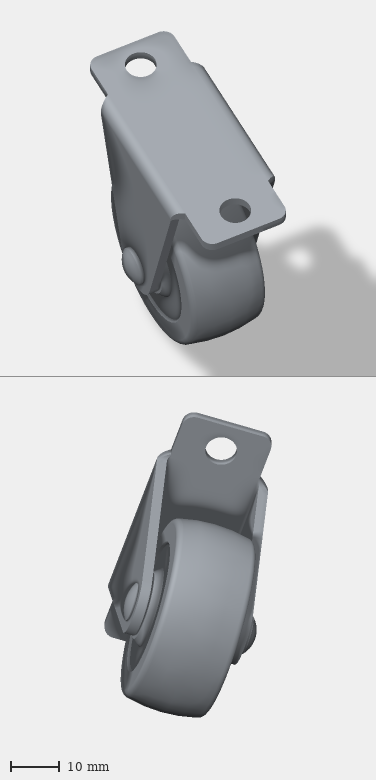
import cadquery as cq
import math

PLATE_LENGTH = 55.0
PLATE_WIDTH = 19.05
PLATE_THICKNESS = 2.0
CORNER_RADIUS = 2.5
MOUNT_HOLE_DIAMETER = 6.5
MOUNT_HOLE_SPACING = 43.0

FORK_WIDTH = 24.0
LEG_THICKNESS = 2.1
BEND_RADIUS = (FORK_WIDTH - PLATE_WIDTH) / 2
INNER_BEND_RADIUS = 0.5
FOLD_LENGTH = 35.1
LEG_TOP_LENGTH = 31.8
LEG_TAPER_LENGTH = 32.35
LEG_BLEND_RADIUS = 1.65
LEG_TIP_RADIUS = 6.55
LEG_OUTER_Y = FORK_WIDTH / 2
LEG_INNER_Y = LEG_OUTER_Y - LEG_THICKNESS

SELECTION_MARGIN = 0.05

AXLE_Z = -34.85
WHEEL_RADIUS = 20.0
SHOULDER_RADIUS = 19.15
RIM_FACE_RADIUS = 17.6
SHOULDER_HALF_WIDTH = 7.35
RIM_HALF_WIDTH = 8.5
RECESS_RADIUS = 13.9
RECESS_TAPER = 0.5
RECESS_DEPTH = 0.5
BOSS_BASE_RADIUS = 8.45
BOSS_TIP_RADIUS = 7.15
BOSS_HALF_WIDTH = 9.6

AXLE_RADIUS = 3.15
HEAD_RADIUS = 4.0
TALL_HEAD_BAND = 0.9
TALL_HEAD_HEIGHT = 2.55
LOW_HEAD_BAND = 0.35
LOW_HEAD_HEIGHT = 1.5


def make_plate():
    """Rounded mounting plate."""
    return (
        cq.Workplane("XY")
        .rect(PLATE_LENGTH, PLATE_WIDTH)
        .extrude(-PLATE_THICKNESS)
        .edges("|Z")
        .fillet(CORNER_RADIUS)
    )


def make_bent_strip():
    """Inverted U of sheet with rounded bends, before the legs are trimmed."""
    leg_bottom_z = AXLE_Z - LEG_TIP_RADIUS
    leg_height = -leg_bottom_z
    outer = (
        cq.Workplane("XY")
        .box(FOLD_LENGTH, FORK_WIDTH, leg_height, centered=(True, True, False))
        .translate((0, 0, leg_bottom_z))
        .edges("|X and >Z")
        .fillet(BEND_RADIUS)
    )
    inner = (
        cq.Workplane("XY")
        .box(FOLD_LENGTH, 2 * LEG_INNER_Y, leg_height - PLATE_THICKNESS, centered=(True, True, False))
        .translate((0, 0, leg_bottom_z))
        .edges("|X and >Z")
        .fillet(INNER_BEND_RADIUS)
    )
    return outer.cut(inner)


def make_fold_outline():
    """Plan outline that narrows across each bend."""
    half_fold = FOLD_LENGTH / 2
    half_leg = LEG_TOP_LENGTH / 2
    half_plate = PLATE_WIDTH / 2
    return (
        cq.Workplane("XY")
        .moveTo(-half_fold, -half_plate)
        .lineTo(-half_leg, -LEG_OUTER_Y)
        .lineTo(half_leg, -LEG_OUTER_Y)
        .lineTo(half_fold, -half_plate)
        .lineTo(half_fold, half_plate)
        .lineTo(half_leg, LEG_OUTER_Y)
        .lineTo(-half_leg, LEG_OUTER_Y)
        .lineTo(-half_fold, half_plate)
        .close()
        .extrude(AXLE_Z - LEG_TIP_RADIUS)
    )


def make_leg_outline():
    """Tapered leg shape, blended into the plate edge and tangent to a round tip about the axle."""
    half_fold = FOLD_LENGTH / 2
    half_taper = LEG_TAPER_LENGTH / 2
    rise = -PLATE_THICKNESS - AXLE_Z
    tangent_angle = math.atan2(rise, half_taper) - math.acos(LEG_TIP_RADIUS / math.hypot(half_taper, rise))
    tangent_x = LEG_TIP_RADIUS * math.cos(tangent_angle)
    tangent_z = AXLE_Z + LEG_TIP_RADIUS * math.sin(tangent_angle)
    outline = (
        cq.Workplane("XZ")
        .moveTo(-half_fold, 0)
        .lineTo(-half_fold, -PLATE_THICKNESS)
        .lineTo(-half_taper, -PLATE_THICKNESS)
        .lineTo(-tangent_x, tangent_z)
        .threePointArc((0, AXLE_Z - LEG_TIP_RADIUS), (tangent_x, tangent_z))
        .lineTo(half_taper, -PLATE_THICKNESS)
        .lineTo(half_fold, -PLATE_THICKNESS)
        .lineTo(half_fold, 0)
        .close()
        .extrude(FORK_WIDTH / 2, both=True)
    )
    blend_corners = cq.selectors.BoxSelector(
        (-half_taper - SELECTION_MARGIN, -FORK_WIDTH, -PLATE_THICKNESS - SELECTION_MARGIN),
        (half_taper + SELECTION_MARGIN, FORK_WIDTH, -PLATE_THICKNESS + SELECTION_MARGIN),
    )
    return outline.edges("|Y").edges(blend_corners).fillet(LEG_BLEND_RADIUS)


def make_bracket():
    """Plate and fork legs, with mounting holes and axle holes."""
    legs = make_bent_strip().intersect(make_fold_outline()).intersect(make_leg_outline())
    mount_holes = (
        cq.Workplane("XY")
        .rarray(MOUNT_HOLE_SPACING, 0.55, 2, 1)
        .circle(MOUNT_HOLE_DIAMETER / 2)
        .extrude(-PLATE_THICKNESS)
    )
    axle_hole = (
        cq.Workplane("XZ")
        .center(0, AXLE_Z)
        .circle(AXLE_RADIUS)
        .extrude(FORK_WIDTH / 2, both=True)
    )
    return make_plate().union(legs).cut(mount_holes).cut(axle_hole)


def revolve_about_axle(profile):
    """Spin a closed (radius, Y) profile about Y and move it onto the axle line."""
    return profile.revolve(360, (0, 0), (0, 1)).translate((0, 0, AXLE_Z))


def make_wheel():
    """Crowned wheel with recessed sides and a tapered hub boss on each side."""
    recess_y = RIM_HALF_WIDTH - RECESS_DEPTH
    recess_floor_radius = RECESS_RADIUS - RECESS_TAPER
    diagonal = math.sqrt(0.5)
    corner_radius = RIM_FACE_RADIUS + (SHOULDER_RADIUS - RIM_FACE_RADIUS) * diagonal
    corner_y = SHOULDER_HALF_WIDTH + (RIM_HALF_WIDTH - SHOULDER_HALF_WIDTH) * diagonal
    profile = (
        cq.Workplane("XY")
        .moveTo(AXLE_RADIUS, -BOSS_HALF_WIDTH)
        .lineTo(BOSS_TIP_RADIUS, -BOSS_HALF_WIDTH)
        .lineTo(BOSS_BASE_RADIUS, -recess_y)
        .lineTo(recess_floor_radius, -recess_y)
        .lineTo(RECESS_RADIUS, -RIM_HALF_WIDTH)
        .lineTo(RIM_FACE_RADIUS, -RIM_HALF_WIDTH)
        .threePointArc((corner_radius, -corner_y), (SHOULDER_RADIUS, -SHOULDER_HALF_WIDTH))
        .threePointArc((WHEEL_RADIUS, 0), (SHOULDER_RADIUS, SHOULDER_HALF_WIDTH))
        .threePointArc((corner_radius, corner_y), (RIM_FACE_RADIUS, RIM_HALF_WIDTH))
        .lineTo(RECESS_RADIUS, RIM_HALF_WIDTH)
        .lineTo(recess_floor_radius, recess_y)
        .lineTo(BOSS_BASE_RADIUS, recess_y)
        .lineTo(BOSS_TIP_RADIUS, BOSS_HALF_WIDTH)
        .lineTo(AXLE_RADIUS, BOSS_HALF_WIDTH)
        .close()
    )
    return revolve_about_axle(profile)


def dome_midpoint(band, height):
    """Point halfway round a domed head's arc, as (radius, distance from the leg)."""
    rise = height - band
    sphere_radius = (HEAD_RADIUS**2 + rise**2) / (2 * rise)
    half_angle = math.asin(HEAD_RADIUS / sphere_radius) / 2
    return (
        sphere_radius * math.sin(half_angle),
        height - sphere_radius * (1 - math.cos(half_angle)),
    )


def make_axle():
    """Rivet through both legs and the wheel, with a domed head at each end."""
    tall_mid_radius, tall_mid_height = dome_midpoint(TALL_HEAD_BAND, TALL_HEAD_HEIGHT)
    low_mid_radius, low_mid_height = dome_midpoint(LOW_HEAD_BAND, LOW_HEAD_HEIGHT)
    profile = (
        cq.Workplane("XY")
        .moveTo(0, -LEG_OUTER_Y - TALL_HEAD_HEIGHT)
        .threePointArc(
            (tall_mid_radius, -LEG_OUTER_Y - tall_mid_height),
            (HEAD_RADIUS, -LEG_OUTER_Y - TALL_HEAD_BAND),
        )
        .lineTo(HEAD_RADIUS, -LEG_OUTER_Y)
        .lineTo(AXLE_RADIUS, -LEG_OUTER_Y)
        .lineTo(AXLE_RADIUS, LEG_OUTER_Y)
        .lineTo(HEAD_RADIUS, LEG_OUTER_Y)
        .lineTo(HEAD_RADIUS, LEG_OUTER_Y + LOW_HEAD_BAND)
        .threePointArc(
            (low_mid_radius, LEG_OUTER_Y + low_mid_height),
            (0, LEG_OUTER_Y + LOW_HEAD_HEIGHT),
        )
        .close()
    )
    return revolve_about_axle(profile)


bracket = make_bracket()
wheel = make_wheel()
axle = make_axle()
result = cq.Compound.makeCompound([bracket.val(), wheel.val(), axle.val()])